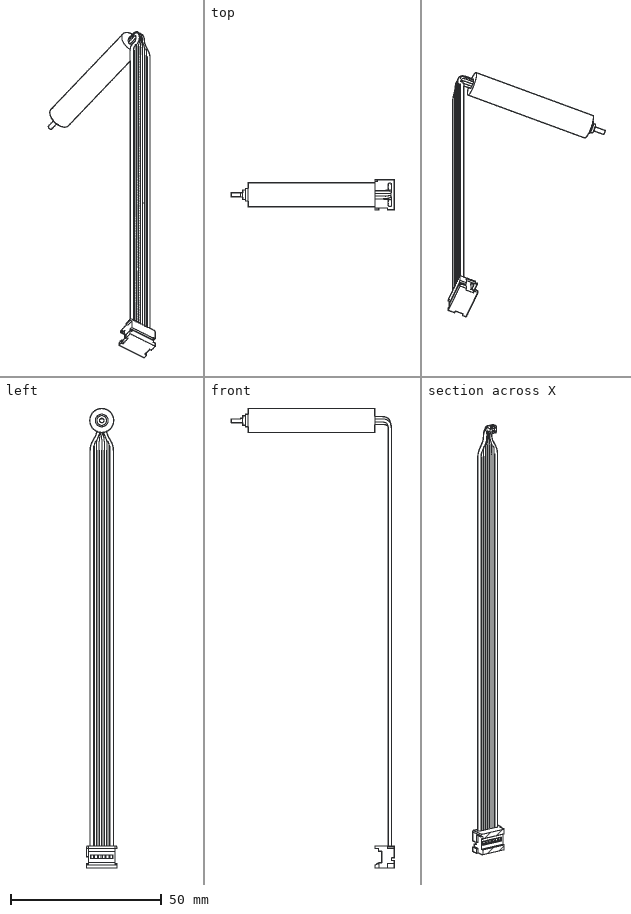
import cadquery as cq


housing_radius = 4.0
housing_stations = [0.0, 3.3, 11.6, 13.5, 14.4, 30.9, 42.1]
housing_length = housing_stations[-1]
shaft_radius = 0.75
shaft_length = 5.57
shaft_flat_height = 0.5
shaft_flat_length = 3.0
bosses = [(2.1, 0.85), (1.6, 1.75)]

overall_length = 54.08
overall_width = 10.13
overall_height = 152.43
plug_back = overall_length - shaft_length
plug_bottom = housing_radius - overall_height

cable_x = 47.05
outer_wire_radius = 0.58
inner_wire_radius = 0.43
outer_wire_y = 3.32
inner_wire_pitch = 0.84
outer_slot = 3.5
web_thickness = 0.4
web_end_overlap = 0.1
bundle_pitch = 0.9
gathered_pitch = 0.3
wire_start = housing_length - 0.5
bend_start = 44.5
bend_end_z = -3.0
outer_fan_end_z = -9.9
inner_fan_end_z = -7.2

plug_top = -141.03
flange_front = 42.04
body_front = 44.35
body_half_width = 4.4
top_flange_thickness = 0.93
bottom_flange_thickness = 1.85
bottom_latch_height = 1.6
brow_front = 43.2
brow_thickness = 0.93
rail_half_width = overall_width / 2
rail_chamfer_width = 0.22
rail_chamfer_height = 0.46
latch_front = 46.2
lip_front_end = 43.4
lip_thickness = 1.4
front_bevel_depth = 1.4
front_bevel_height = 0.9
side_bar_front = 42.9
side_bar_bottom = -144.7
back_notch_depth = 0.9
back_notch_bottom = -145.9
back_notch_top = -145.0
contact_count = 6
contact_pitch = 1.27
contact_width = 0.85
contact_bottom = -145.2
contact_top = -144.15
contact_depth = 1.5
recess_half_width = 3.75
recess_margin = 0.1
recess_depth = 0.4
wire_embed = 1.0


def x_cylinder(radius, start, end):
    return cq.Workplane("YZ", origin=(start, 0, 0)).circle(radius).extrude(end - start)


def block(x_range, y_range, z_range):
    corner = (x_range[0], y_range[0], z_range[0])
    size = (x_range[1] - x_range[0], y_range[1] - y_range[0], z_range[1] - z_range[0])
    return cq.Workplane("XY", origin=corner).box(*size, centered=False)


def make_motor():
    motor = x_cylinder(housing_radius, housing_stations[0], housing_stations[1])
    for start, end in zip(housing_stations[1:-1], housing_stations[2:]):
        motor = motor.union(x_cylinder(housing_radius, start, end), clean=False)
    for radius, reach in bosses:
        motor = motor.union(x_cylinder(radius, -reach, 0), clean=False)
    shaft = x_cylinder(shaft_radius, -shaft_length, 0)
    flat = block(
        (-shaft_length, -shaft_length + shaft_flat_length),
        (-shaft_radius, shaft_radius),
        (shaft_flat_height, shaft_radius),
    )
    return motor.union(shaft.cut(flat), clean=False)


def make_wire(radius, start_y, start_z, gathered_y, end_y, fan_end_z):
    leave = cq.Vector(wire_start, start_y, start_z)
    bend_in = cq.Vector(bend_start, start_y, start_z)
    bend_out = cq.Vector(cable_x, gathered_y, bend_end_z)
    fan_end = cq.Vector(cable_x, end_y, fan_end_z)
    finish = cq.Vector(cable_x, end_y, plug_top - wire_embed)
    along = cq.Vector(1, 0, 0)
    down = cq.Vector(0, 0, -1)
    bend = cq.Edge.makeSpline([bend_in, bend_out], tangents=[along, down])
    fan = cq.Edge.makeSpline([bend_out, fan_end], tangents=[down, down])
    path = cq.Wire.assembleEdges(
        [cq.Edge.makeLine(leave, bend_in), bend, fan, cq.Edge.makeLine(fan_end, finish)]
    )
    profile = cq.Workplane("YZ", origin=leave.toTuple()).circle(radius)
    return profile.sweep(cq.Workplane(path))


def make_cable():
    web = block(
        (cable_x - web_thickness / 2, cable_x + web_thickness / 2),
        (-outer_wire_y, outer_wire_y),
        (plug_top - web_end_overlap, outer_fan_end_z),
    )
    wires = []
    for side in (-1, 1):
        outer = make_wire(
            outer_wire_radius,
            side * bundle_pitch,
            0,
            side * outer_slot * gathered_pitch,
            side * outer_wire_y,
            outer_fan_end_z,
        )
        wires.append(outer.val())
        for column in (-1, 0, 1):
            slot = 2 * column + side / 2
            inner = make_wire(
                inner_wire_radius,
                column * bundle_pitch,
                side * bundle_pitch,
                slot * gathered_pitch,
                slot * inner_wire_pitch,
                inner_fan_end_z,
            )
            wires.append(inner.val())
    return cq.Workplane(web.val().fuse(*wires))


def make_top_rail(x_range, side, bottom):
    inner = side * body_half_width
    outer = side * rail_half_width
    return (
        cq.Workplane("YZ", origin=(x_range[0], 0, 0))
        .moveTo(inner, bottom)
        .lineTo(outer, bottom)
        .lineTo(outer, plug_top - rail_chamfer_height)
        .lineTo(outer - side * rail_chamfer_width, plug_top)
        .lineTo(inner, plug_top)
        .close()
        .extrude(x_range[1] - x_range[0])
    )


def make_plug():
    top_flange_bottom = plug_top - top_flange_thickness
    bottom_flange_top = plug_bottom + bottom_flange_thickness
    body_y = (-body_half_width, body_half_width)
    rail_y = (-rail_half_width, rail_half_width)

    plug = block((body_front, plug_back), body_y, (plug_bottom, plug_top))
    plug = plug.union(block((flange_front, plug_back), body_y, (top_flange_bottom, plug_top)))
    brow_z = (top_flange_bottom - brow_thickness, top_flange_bottom)
    plug = plug.union(block((brow_front, plug_back), body_y, brow_z))

    plug = plug.union(block((flange_front, plug_back), body_y, (plug_bottom, bottom_flange_top)))
    lip_z = (plug_bottom, plug_bottom + lip_thickness)
    plug = plug.union(block((flange_front, lip_front_end), rail_y, lip_z))
    bevel = (
        cq.Workplane("XZ", origin=(0, rail_half_width, 0))
        .moveTo(flange_front, bottom_flange_top)
        .lineTo(flange_front, bottom_flange_top - front_bevel_height)
        .lineTo(flange_front + front_bevel_depth, bottom_flange_top)
        .close()
        .extrude(overall_width)
    )
    plug = plug.cut(bevel)

    latch_x = (latch_front, plug_back)
    plug = plug.union(block(latch_x, rail_y, (plug_bottom, plug_bottom + bottom_latch_height)))
    plug = plug.union(make_top_rail(latch_x, -1, top_flange_bottom))
    plug = plug.union(make_top_rail((side_bar_front, plug_back), 1, top_flange_bottom))
    plug = plug.union(make_top_rail(latch_x, 1, side_bar_bottom))

    notch_x = (plug_back - back_notch_depth, plug_back)
    plug = plug.cut(block(notch_x, rail_y, (back_notch_bottom, back_notch_top)))

    plug = plug.cut(
        block(
            (body_front, body_front + recess_depth),
            (-recess_half_width, recess_half_width),
            (contact_bottom - recess_margin, contact_top + recess_margin),
        )
    )
    for index in range(contact_count):
        centre = (index - (contact_count - 1) / 2) * contact_pitch
        opening_y = (centre - contact_width / 2, centre + contact_width / 2)
        opening_x = (body_front, body_front + contact_depth)
        plug = plug.cut(block(opening_x, opening_y, (contact_bottom, contact_top)))
    return plug


result = make_motor().union(make_cable(), clean=False).union(make_plug(), clean=False)